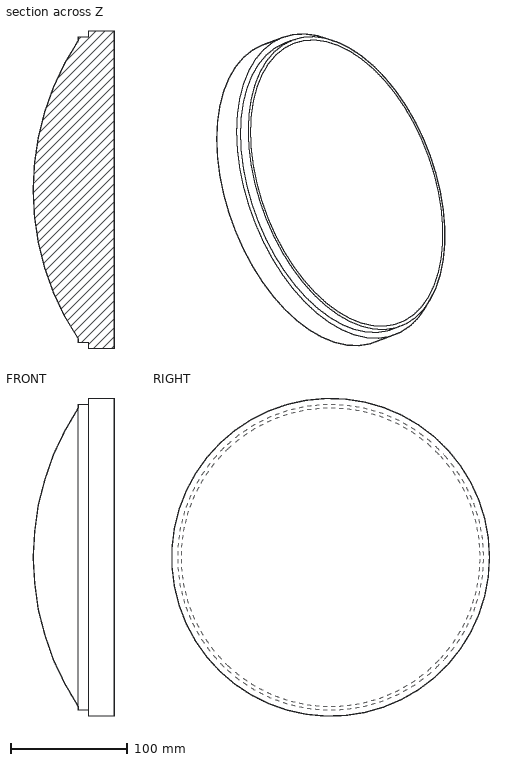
import cadquery as cq

total_length = 70.0
flange_diameter = 273.0
flange_thickness = 22.5
shoulder_diameter = 262.7
shoulder_thickness = 8.7
dome_diameter = 256.7

dome_height = total_length - flange_thickness - shoulder_thickness
dome_base_radius = dome_diameter / 2
sphere_radius = (dome_base_radius**2 + dome_height**2) / (2 * dome_height)


def make_disc(start_x, diameter, thickness):
    """Disc on the X axis, extending from start_x toward +X."""
    return cq.Workplane("YZ", origin=(start_x, 0, 0)).circle(diameter / 2).extrude(thickness)


def make_dome():
    """Spherical cap with its apex at the origin and its flat base toward +X."""
    sphere = cq.Workplane("XY").sphere(sphere_radius).translate((sphere_radius, 0, 0))
    cap_envelope = make_disc(0, dome_diameter, dome_height)
    return sphere.intersect(cap_envelope)


shoulder_x = dome_height
flange_x = shoulder_x + shoulder_thickness

dome = make_dome()
shoulder = make_disc(shoulder_x, shoulder_diameter, shoulder_thickness)
flange = make_disc(flange_x, flange_diameter, flange_thickness)

result = dome.union(shoulder).union(flange)